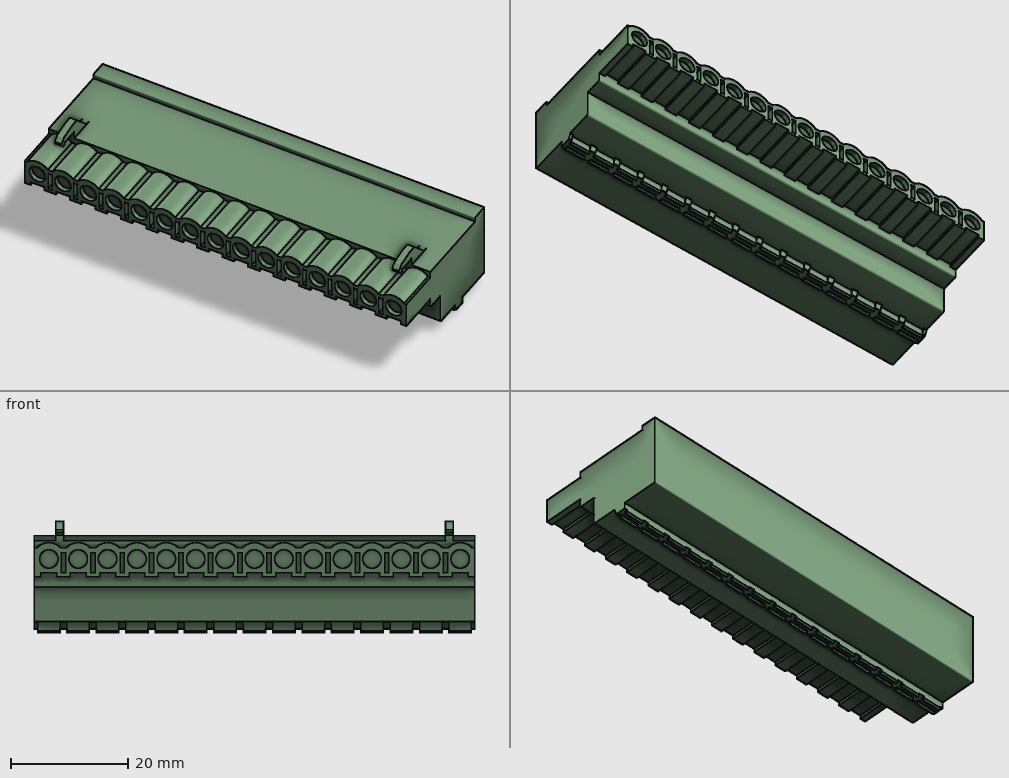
import cadquery as cq
import math

LENGTH = 75.1
DEPTH = 26.6
POLES = 15
PITCH = LENGTH / POLES
POLE_CENTRES = [(pole + 0.5) * PITCH for pole in range(POLES)]

BODY_TOP = 13.75
LIP_TOP = 14.65
LIP_DEPTH = 3.15
FRONT_WALL_Y = 8.2
STEP_Y = 11.6
STEP_Z = 5.85
EDGE_RADIUS = 0.4
LIP_RADIUS = 0.2
BACK_EDGE_RADIUS = 0.2

SOCKET_BOTTOM = 7.65
SHOULDER_Z = 12.55
HOLE_Z = 10.7
HOLE_RADIUS = 1.6
HOLE_DEPTH = 1.0
ARCH_RADIUS = 2.8
NOTCH_WIDTH = 2.7
NOTCH_TOP = 8.3
SLOT_WIDTH = 0.75
SLOT_TOP = 11.7

RAIL_BACK_Y = 19.15
RAIL_FRONT_Y = 16.6
RAIL_TOE_Y = 17.05
RAIL_BOTTOM = -1.3
RAIL_SLOPE_TOP = -0.15
RAIL_SLOPE_BOTTOM = -1.1
BLOCK_WIDTH = 3.8
PIN_DEPTH = 0.7
PIN_CORNER_Z = -1.6
PIN_TIP_Z = -1.9
PIN_TIP_HEIGHT = PIN_CORNER_Z - PIN_TIP_Z
PIN_TIP_INSET = 0.3

HOOK_WIDTH = 1.35
HOOK_INSET = 4.35
HOOK_TOP = 17.1
HOOK_UNDERSIDE = 15.2
HOOK_HEEL_Y = 12.5
HOOK_HEEL_RADIUS = 1.8
HOOK_RAMP_DEGREES = 45
HOOK_CREST_FRONT_Y = 7.5
HOOK_BROW = (4.8, 16.5)
HOOK_NOSE = (3.8, 15.6)
HOOK_CHIN_Z = 15.25
HOOK_BARB_BOTTOM = 14.7
HOOK_BARB_FRONT_Y = 4.35
HOOK_BARB_BACK_Y = 5.0
HOOK_CREST_RADIUS = 0.6
HOOK_BROW_RADIUS = 0.75


def box(x0, x1, y0, y1, z0, z1):
    """Box between two opposite corners."""
    return cq.Workplane("XY").box(x1 - x0, y1 - y0, z1 - z0, centered=False).translate((x0, y0, z0))


def near(x, y, z):
    """Select the edge whose centre is nearest to the point."""
    return cq.selectors.NearestToPointSelector((x, y, z))


def make_body():
    """Housing block with a raised lip along the back and a step under the front wall."""
    outline = [
        (STEP_Y, 0),
        (DEPTH, 0),
        (DEPTH, LIP_TOP),
        (DEPTH - LIP_DEPTH, LIP_TOP),
        (DEPTH - LIP_DEPTH, BODY_TOP),
        (FRONT_WALL_Y, BODY_TOP),
        (FRONT_WALL_Y, STEP_Z),
        (STEP_Y, STEP_Z),
    ]
    body = cq.Workplane("YZ").polyline(outline).close().extrude(LENGTH)
    for y, z in [(STEP_Y, 0), (FRONT_WALL_Y, STEP_Z)]:
        body = body.edges(near(LENGTH / 2, y, z)).fillet(EDGE_RADIUS)
    body = body.edges(near(LENGTH / 2, DEPTH - LIP_DEPTH, LIP_TOP)).fillet(LIP_RADIUS)
    return body.edges(near(LENGTH / 2, DEPTH, 0)).fillet(BACK_EDGE_RADIUS)


def make_sockets():
    """Row of sockets with arched tops, holes, notches below and slots between neighbours."""
    sockets = box(0, LENGTH, 0, FRONT_WALL_Y, SOCKET_BOTTOM, SHOULDER_Z)
    for x in POLE_CENTRES:
        arch = cq.Workplane("XZ").center(x, HOLE_Z).circle(ARCH_RADIUS).extrude(-FRONT_WALL_Y)
        above_hole = box(x - PITCH / 2, x + PITCH / 2, 0, FRONT_WALL_Y, HOLE_Z, LIP_TOP)
        sockets = sockets.union(arch.intersect(above_hole))
    for x in POLE_CENTRES:
        hole = cq.Workplane("XZ").center(x, HOLE_Z).circle(HOLE_RADIUS).extrude(-HOLE_DEPTH)
        notch = box(x - NOTCH_WIDTH / 2, x + NOTCH_WIDTH / 2, 0, FRONT_WALL_Y, SOCKET_BOTTOM, NOTCH_TOP)
        sockets = sockets.cut(hole).cut(notch)
    for gap in range(1, POLES):
        x = gap * PITCH
        slot = box(x - SLOT_WIDTH / 2, x + SLOT_WIDTH / 2, 0, FRONT_WALL_Y, NOTCH_TOP, SLOT_TOP)
        sockets = sockets.cut(slot)
    return sockets


def make_rail():
    """Rail with a sloped front, cut back to an upright face at each pole, and two pins per pole."""
    outline = [
        (RAIL_FRONT_Y, 0),
        (RAIL_FRONT_Y, RAIL_SLOPE_TOP),
        (RAIL_TOE_Y, RAIL_SLOPE_BOTTOM),
        (RAIL_TOE_Y, RAIL_BOTTOM),
        (RAIL_BACK_Y, RAIL_BOTTOM),
        (RAIL_BACK_Y, 0),
    ]
    rail = cq.Workplane("YZ").polyline(outline).close().extrude(LENGTH)
    for x in POLE_CENTRES:
        x0 = x - BLOCK_WIDTH / 2
        x1 = x0 + BLOCK_WIDTH
        rail = rail.cut(box(x0, x1, RAIL_FRONT_Y, RAIL_TOE_Y, RAIL_BOTTOM, 0))
        for pin_y in (RAIL_TOE_Y, RAIL_BACK_Y - PIN_DEPTH):
            pin = box(x0, x1, pin_y, pin_y + PIN_DEPTH, PIN_TIP_Z, RAIL_BOTTOM)
            rail = rail.union(pin.edges("|X and <Z").chamfer(PIN_TIP_HEIGHT, PIN_TIP_INSET))
    return rail


def make_hook(x):
    """Latch hook centred on x: a ramp rising from the housing to a crest with an overhanging barb."""
    ramp_angle = math.radians(HOOK_RAMP_DEGREES)
    heel_run = HOOK_HEEL_RADIUS * math.tan(ramp_angle / 2)
    ramp_start = (
        HOOK_HEEL_Y - heel_run * math.cos(ramp_angle),
        BODY_TOP + heel_run * math.sin(ramp_angle),
    )
    crest_back_y = HOOK_HEEL_Y - (HOOK_TOP - BODY_TOP) / math.tan(ramp_angle)
    hook = (
        cq.Workplane("YZ", origin=(x - HOOK_WIDTH / 2, 0, 0))
        .moveTo(HOOK_HEEL_Y + heel_run, BODY_TOP)
        .radiusArc(ramp_start, HOOK_HEEL_RADIUS)
        .lineTo(crest_back_y, HOOK_TOP)
        .lineTo(HOOK_CREST_FRONT_Y, HOOK_TOP)
        .lineTo(*HOOK_BROW)
        .lineTo(*HOOK_NOSE)
        .lineTo(HOOK_NOSE[0], HOOK_CHIN_Z)
        .lineTo(HOOK_BARB_FRONT_Y, HOOK_BARB_BOTTOM)
        .lineTo(HOOK_BARB_BACK_Y, HOOK_BARB_BOTTOM)
        .lineTo(HOOK_BARB_BACK_Y, HOOK_UNDERSIDE)
        .lineTo(FRONT_WALL_Y, HOOK_UNDERSIDE)
        .lineTo(FRONT_WALL_Y, BODY_TOP)
        .close()
        .extrude(HOOK_WIDTH)
    )
    rounded = [
        (crest_back_y, HOOK_TOP, HOOK_CREST_RADIUS),
        (HOOK_CREST_FRONT_Y, HOOK_TOP, HOOK_CREST_RADIUS),
        (*HOOK_BROW, HOOK_BROW_RADIUS),
    ]
    for y, z, radius in rounded:
        hook = hook.edges(near(x, y, z)).fillet(radius)
    return hook


result = make_body().union(make_sockets()).union(make_rail())
for hook_x in (HOOK_INSET, LENGTH - HOOK_INSET):
    result = result.union(make_hook(hook_x))